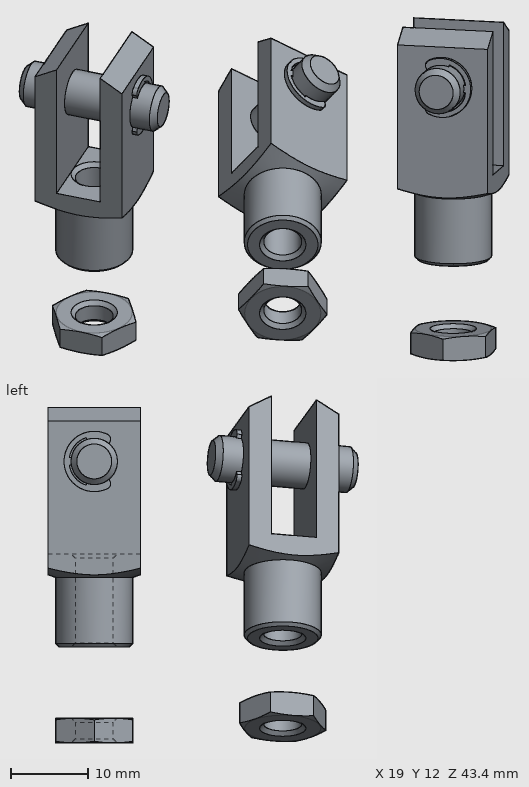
import cadquery as cq
import math

nut_flats = 10.0
nut_height = 3.2
nut_corner_diameter = nut_flats / math.cos(math.pi / 6)
nut_face_diameter = 9.85
nut_chamfer_angle = math.radians(15)

bore_diameter = 4.9
bore_mouth_diameter = 6.0
bore_chamfer = (bore_mouth_diameter - bore_diameter) / 2

top_z = 43.4
shank_bottom_z = 12.4
shank_length = 9.0
shank_diameter = 10.0
shank_chamfer = 0.45
body_width = 12.0
body_bottom_z = shank_bottom_z + shank_length
slot_width = body_width / 2
slot_floor_z = 24.45
leg_top_angle = math.radians(30)
leg_top_drop = (body_width - slot_width) / 2 * math.tan(leg_top_angle)
corner_radius = body_width / math.sqrt(2)
corner_rise = 1.2

pin_diameter = 6.0
pin_radius = pin_diameter / 2
pin_length = 19.0
pin_z = 36.4
pin_chamfer_length = 0.82
pin_chamfer_depth = 0.75

clip_radius = 3.9
clip_thickness = 0.65
clip_tip_reach = 2.13
clip_tip_height = 2.78
clip_round_start = 1.55
clip_round_mid = (2.0, 3.25)
clip_heel = (1.9, 2.25)
clip_window_radius = 3.25
clip_window_start = math.radians(9)
clip_window_end = math.radians(71)


def revolve_about_z(points):
    """Solid of revolution from (radius, z) points."""
    return cq.Workplane("XZ").polyline(points).close().revolve(360, (0, 0), (0, 1))


def bore(bottom_z, height):
    """Bore with a chamfered mouth at each end, as a cutting body."""
    mouth_radius = bore_mouth_diameter / 2
    thread_radius = bore_diameter / 2
    return revolve_about_z([
        (0, bottom_z),
        (mouth_radius, bottom_z),
        (thread_radius, bottom_z + bore_chamfer),
        (thread_radius, bottom_z + height - bore_chamfer),
        (mouth_radius, bottom_z + height),
        (0, bottom_z + height),
    ])


def make_nut():
    """Hexagon with corners on the X axis, its corners chamfered by cones."""
    hexagon = cq.Workplane("XY").polygon(6, nut_corner_diameter).extrude(nut_height)
    corner = nut_corner_diameter / 2
    face = nut_face_diameter / 2
    drop = (corner - face) * math.tan(nut_chamfer_angle)
    envelope = revolve_about_z([
        (0, 0),
        (face, 0),
        (corner, drop),
        (corner, nut_height - drop),
        (face, nut_height),
        (0, nut_height),
    ])
    return hexagon.intersect(envelope).cut(bore(0, nut_height))


def make_fork():
    """Square slotted body with sloping leg tops and a round shank below."""
    half = body_width / 2
    half_slot = slot_width / 2
    body = (
        cq.Workplane("XZ")
        .polyline([
            (-half, body_bottom_z),
            (half, body_bottom_z),
            (half, top_z - leg_top_drop),
            (half_slot, top_z),
            (half_slot, slot_floor_z),
            (-half_slot, slot_floor_z),
            (-half_slot, top_z),
            (-half, top_z - leg_top_drop),
        ])
        .close()
        .extrude(half, both=True)
    )
    underside_envelope = revolve_about_z([
        (0, body_bottom_z),
        (shank_diameter / 2, body_bottom_z),
        (corner_radius, body_bottom_z + corner_rise),
        (corner_radius, top_z),
        (0, top_z),
    ])
    shank = (
        cq.Workplane("XY", origin=(0, 0, shank_bottom_z))
        .circle(shank_diameter / 2)
        .extrude(shank_length)
        .faces("<Z")
        .chamfer(shank_chamfer)
    )
    thread = bore(shank_bottom_z, slot_floor_z - shank_bottom_z)
    return body.intersect(underside_envelope).union(shank).cut(thread)


def make_pin():
    """Round pin with a conical chamfer at each end."""
    half = pin_length / 2
    end_radius = pin_radius - pin_chamfer_depth
    return (
        cq.Workplane("XZ", origin=(0, 0, pin_z))
        .polyline([
            (-half, 0),
            (-half, end_radius),
            (-half + pin_chamfer_length, pin_radius),
            (half - pin_chamfer_length, pin_radius),
            (half, end_radius),
            (half, 0),
        ])
        .close()
        .revolve(360, (0, 0), (1, 0))
    )


def clip_window(plane, side):
    """Sector cleared between clip and pin, above (side 1) or below (side -1) the pin axis."""
    middle = (clip_window_start + clip_window_end) / 2

    def at(radius, angle):
        return (radius * math.cos(angle), side * radius * math.sin(angle))

    return (
        plane.moveTo(*at(pin_radius, clip_window_start))
        .lineTo(*at(clip_window_radius, clip_window_start))
        .threePointArc(at(clip_window_radius, middle), at(clip_window_radius, clip_window_end))
        .lineTo(*at(pin_radius, clip_window_end))
        .threePointArc(at(pin_radius, middle), at(pin_radius, clip_window_start))
        .close()
        .extrude(clip_thickness)
    )


def make_clip(start_x):
    """Open ring with rounded arm tips, from start_x towards +X; its centre lies within the pin."""
    plane = cq.Workplane("YZ", origin=(start_x, 0, pin_z))
    arc_end_z = math.sqrt(clip_radius**2 - clip_round_start**2)
    mid_y, mid_z = clip_round_mid
    heel_y, heel_z = clip_heel
    clip = (
        plane.moveTo(-heel_y, -heel_z)
        .lineTo(-clip_tip_reach, -clip_tip_height)
        .threePointArc((-mid_y, -mid_z), (-clip_round_start, -arc_end_z))
        .threePointArc((clip_radius, 0), (-clip_round_start, arc_end_z))
        .threePointArc((-mid_y, mid_z), (-clip_tip_reach, clip_tip_height))
        .lineTo(-heel_y, heel_z)
        .close()
        .extrude(clip_thickness)
    )
    for side in (1, -1):
        clip = clip.cut(clip_window(plane, side))
    return clip


def make_clevis():
    """Fork, pin and clips joined as one solid."""
    clevis = make_fork().union(make_pin())
    for start_x in (-body_width / 2 - clip_thickness, body_width / 2):
        clevis = clevis.union(make_clip(start_x))
    return clevis


clevis = make_clevis()
nut = make_nut()

result = cq.Compound.makeCompound([clevis.solids().val(), nut.solids().val()])